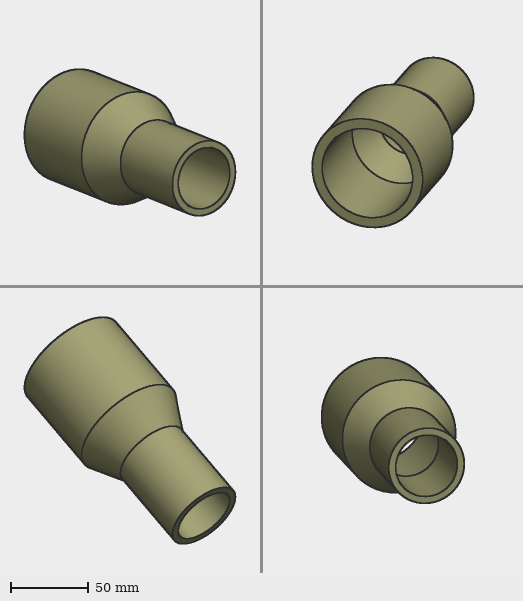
import cadquery as cq

total_length = 148.0
wide_length = 64.0
cone_length = 25.9
wide_outer_diameter = 75.0
wide_bore_diameter = 61.4
narrow_outer_diameter = 50.0
narrow_bore_diameter = 40.8

cone_start = wide_length
cone_end = wide_length + cone_length


def stepped_body(wide_diameter, narrow_diameter):
    """Solid of revolution about X: wide cylinder, cone, narrow cylinder."""
    wide_radius = wide_diameter / 2
    narrow_radius = narrow_diameter / 2
    return (
        cq.Workplane("XY")
        .moveTo(0, 0)
        .lineTo(0, wide_radius)
        .lineTo(cone_start, wide_radius)
        .lineTo(cone_end, narrow_radius)
        .lineTo(total_length, narrow_radius)
        .lineTo(total_length, 0)
        .close()
        .revolve(360, (0, 0, 0), (1, 0, 0))
    )


outer_body = stepped_body(wide_outer_diameter, narrow_outer_diameter)
through_bore = stepped_body(wide_bore_diameter, narrow_bore_diameter)

result = outer_body.cut(through_bore)